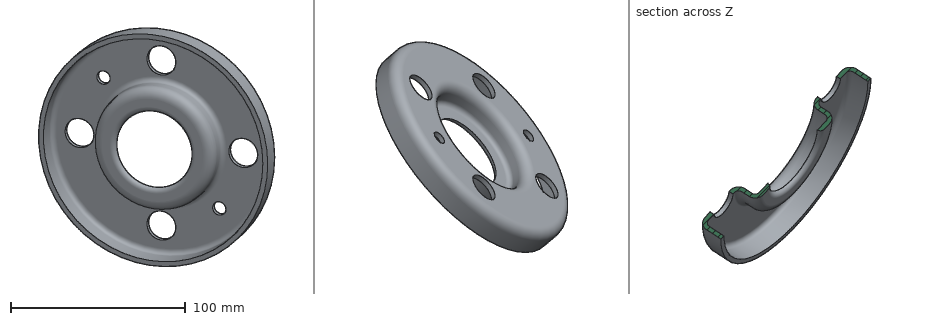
import cadquery as cq
import math

sheet = 3.0
inner_bend = 3.0
outer_bend = inner_bend + sheet
overall_depth = 17.0
rim_depth = 16.5
rim_radius = 70.0
hub_radius = 37.0
bore_radius = 23.0
bore_lip_radius = sheet

hole_circle_radius = 50.0
bolt_hole_diameter = 17.5
bolt_hole_count = 4
pin_hole_diameter = 8.0
pin_hole_angles = (135.0, 315.0)

back_y = overall_depth / 2
plate_y = back_y - sheet
rim_edge_y = back_y - rim_depth
hub_face_y = back_y - overall_depth
hub_inside_y = hub_face_y + sheet


def polar(centre, radius, angle):
    """Point at an angle in degrees on a circle."""
    turn = math.radians(angle)
    return (centre[0] + radius * math.cos(turn), centre[1] + radius * math.sin(turn))


def bend(profile, centre, radius, start_angle, end_angle):
    """Run a line to the start of a circular bend, then follow the bend to its end."""
    middle_angle = (start_angle + end_angle) / 2
    profile = profile.lineTo(*polar(centre, radius, start_angle))
    return profile.threePointArc(
        polar(centre, radius, middle_angle),
        polar(centre, radius, end_angle),
    )


def make_shell():
    """Revolve the sheet section: bore lip, hollow hub, flat plate and turned rim."""
    lip_centre = (bore_radius + bore_lip_radius, hub_face_y + bore_lip_radius)
    crown_centre = (hub_radius - outer_bend, hub_face_y + outer_bend)
    base_centre = (hub_radius + inner_bend, plate_y - inner_bend)
    rim_centre = (rim_radius - outer_bend, back_y - outer_bend)

    profile = cq.Workplane("XY").moveTo(lip_centre[0], hub_inside_y)
    profile = bend(profile, lip_centre, bore_lip_radius, 180, 270)
    profile = bend(profile, crown_centre, outer_bend, 270, 360)
    profile = bend(profile, base_centre, inner_bend, 180, 90)
    profile = bend(profile, rim_centre, inner_bend, 90, 0)
    profile = profile.lineTo(rim_radius - sheet, rim_edge_y)

    profile = profile.lineTo(rim_radius, rim_edge_y)
    profile = bend(profile, rim_centre, outer_bend, 0, 90)
    profile = bend(profile, base_centre, outer_bend, 90, 180)
    profile = bend(profile, crown_centre, inner_bend, 360, 270)
    return profile.close().revolve(360, (0, 0, 0), (0, 1, 0))


def make_hole_cutters(angles, diameter):
    """Cylinders along Y on the hole circle, at angles measured from +X towards +Z."""
    points = [polar((0, 0), hole_circle_radius, angle) for angle in angles]
    circles = cq.Workplane("XZ").pushPoints(points).circle(diameter / 2)
    return circles.extrude(overall_depth, both=True)


bolt_hole_angles = [i * 360 / bolt_hole_count for i in range(bolt_hole_count)]

result = make_shell()
result = result.cut(make_hole_cutters(bolt_hole_angles, bolt_hole_diameter))
result = result.cut(make_hole_cutters(pin_hole_angles, pin_hole_diameter))